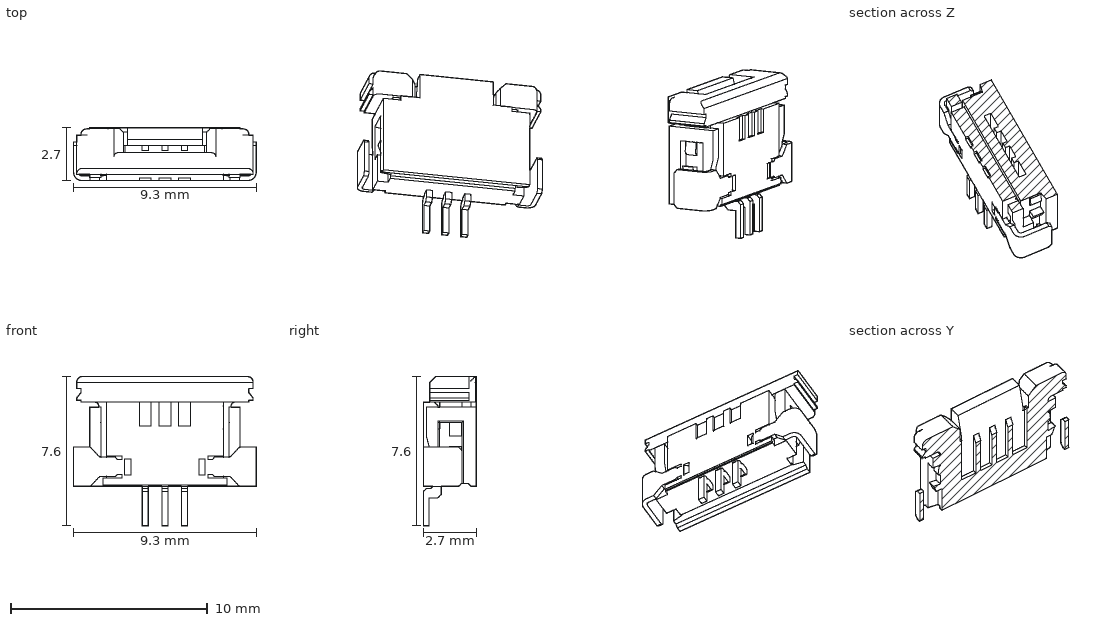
import cadquery as cq
import math


TOTAL_WIDTH = 9.3
DEPTH = 2.7
CAP_TOP = 5.6
PIN_LENGTH = 2.0
OVERLAP = 0.1

HOUSING_TOP = 4.29
ARM_TOP = 4.04
CORE_HALF = 3.26
CORE_FRONT = 0.83
CORE_BACK = 2.43
CREST_HALF = 2.9
ARM_HALF = 3.825
ARM_FRONT = 0.155
ARM_FOOT_FRONT = 0.3
ARM_TAPER_TOP = 2.55
PLATE_HALF = 2.98
PLATE_DEPTH = 0.755
PLATE_CHAMFER = 0.19
SLIT_BOTTOM = 2.93
SKIRT_HALF = 3.147
SKIRT_TOP = 0.42
SKIRT_STEP = 0.085
GAP_FLOOR = 1.5
GAP_FLOOR_FRONT = 1.05
FOOT_GROOVE_HEIGHT = 0.15
FOOT_GROOVE_FRONT = 1.8

WINDOW_BACK = 2.05
WINDOW_TOP = 3.34
WINDOW_BACK_DRAFT = 0.11
WINDOW_TOP_DRAFT = 0.09
CATCH_FRONT = 1.34
CATCH_BACK = WINDOW_BACK - WINDOW_BACK_DRAFT
LOWER_CATCH_TIP = 2.03
LOWER_CATCH_ROOT = 1.96
LOWER_CATCH_BOTTOM = 1.53
LOWER_CATCH_REACH = 0.43
LOWER_CATCH_BASE_REACH = 0.23
UPPER_CATCH_TOP = 3.25
UPPER_CATCH_LEDGE = 2.77
UPPER_CATCH_NOSE = 0.08
UPPER_CATCH_REACH = 0.14
UPPER_CATCH_RADIUS = 0.23
SILL_TOP = 1.49

PITCH = 1.0
CONTACT_COUNT = 3
PIN_WIDTH = 0.32
PIN_THICKNESS = 0.296
PIN_ROOT_FRONT = 0.473
PIN_ROOT_BACK = 0.917
PIN_CRANK_TOP = -0.1
PIN_CRANK_BOTTOM = -0.59
PIN_CRANK_CHAMFER = 0.19
PIN_FRONT_CHAMFER = 0.155
NOTCH_WIDTH = 0.6
NOTCH_DEPTH = 0.135
NOTCH_BOTTOM = 3.08
CONTACT_REACH = 0.24
CONTACT_TOP = 4.0
CONTACT_RAMP = 0.5

CABLE_HALF = 2.02
CABLE_FRONT = 1.42
CABLE_BACK = 1.78
CABLE_BOTTOM = 1.5
LEAD_IN_BACK = 2.48

CAP_HALF = 4.49
CAP_WAIST_HALF = 4.275
CAP_FRONT = 0.32
CAP_STEP = 2.32
CAP_BACK = 2.64
CAP_RADIUS = 0.3
CAP_CHAMFER = 0.31
CAP_LIP_BOTTOM = 4.975
CAP_WAIST_BOTTOM = 4.78
CAP_BARB = 4.5
CAP_BARB_BOTTOM = 4.375
TONGUE_HALF = 3.37
TONGUE_BACK = 1.96
TONGUE_FILLET = 0.2
MOUTH_HALF = 2.59
MOUTH_SLOPE = 0.48
THROAT_HALF = MOUTH_HALF - MOUTH_SLOPE
MOUTH_FILLET = 0.2
MOUTH_FRONT = CABLE_FRONT - MOUTH_FILLET
MOUTH_BACK_CHAMFER = 0.19
TAB_HALF = 1.91
TAB_TOP_FRONT = 2.09

CLIP_HEIGHT = 2.01
CLIP_THICKNESS = 0.25
CLIP_RADIUS = 0.43
CLIP_BACK = 1.976
CLIP_CHAMFER = 0.18
CLIP_TAPER_START = 3.8
CLIP_TAPER_END = 3.32
CLIP_ARM = (0.51, GAP_FLOOR)
CLIP_TIP = (0.6, 1.376)
CLIP_TIP_START = (2.52, 2.43)
CLIP_END = 2.18
CLIP_SLOT = (SKIRT_TOP, 1.55)
CLIP_WINDOW = (0.59, 1.39)
CLIP_WINDOW_OUTER = 2.05
CLIP_WINDOW_INNER = 1.73
CLIP_BEND_RADIUS = CLIP_END - CLIP_WINDOW_INNER
CLIP_BEND_SETBACK = 0.05

CONTACT_XS = [PITCH * (i - (CONTACT_COUNT - 1) / 2) for i in range(CONTACT_COUNT)]


def box(x0, x1, y0, y1, z0, z1):
    return cq.Workplane("XY").box(x1 - x0, y1 - y0, z1 - z0, centered=False).translate((x0, y0, z0))


def prism_x(points, x0, x1):
    """Extrude a (y, z) outline from x0 to x1."""
    return cq.Workplane("YZ", origin=(x0, 0, 0)).polyline(points).close().extrude(x1 - x0)


def prism_y(points, y0, y1):
    """Extrude an (x, z) outline from y0 to y1."""
    return cq.Workplane("XZ", origin=(0, y0, 0)).polyline(points).close().extrude(y0 - y1)


def both_sides(left):
    """Return the left-hand shape together with its mirror image in X."""
    return left.union(left.mirror("YZ"))


def make_arm():
    arm = prism_x(
        [
            (ARM_FOOT_FRONT, 0),
            (ARM_FOOT_FRONT, CLIP_HEIGHT),
            (ARM_FRONT, ARM_TAPER_TOP),
            (ARM_FRONT, ARM_TOP),
            (DEPTH, ARM_TOP),
            (DEPTH, 0),
        ],
        -ARM_HALF,
        -CORE_HALF,
    )
    inner_back = WINDOW_BACK - WINDOW_BACK_DRAFT
    inner_top = WINDOW_TOP - WINDOW_TOP_DRAFT
    window = (
        cq.Workplane("YZ", origin=(-ARM_HALF, 0, 0))
        .polyline([(PLATE_DEPTH, 0), (WINDOW_BACK, 0), (WINDOW_BACK, WINDOW_TOP), (PLATE_DEPTH, WINDOW_TOP)])
        .close()
        .workplane(offset=ARM_HALF - CORE_HALF)
        .polyline([(PLATE_DEPTH, 0), (inner_back, 0), (inner_back, inner_top), (PLATE_DEPTH, inner_top)])
        .close()
        .loft(ruled=True)
    )
    sill = box(-ARM_HALF, -CORE_HALF, PLATE_DEPTH, CATCH_FRONT, 0, SILL_TOP)
    return arm.cut(window).union(sill)


def make_catches():
    root = -TONGUE_HALF + OVERLAP
    lower = prism_y(
        [
            (root, LOWER_CATCH_ROOT),
            (-TONGUE_HALF, LOWER_CATCH_ROOT),
            (-TONGUE_HALF - LOWER_CATCH_REACH, LOWER_CATCH_TIP),
            (-TONGUE_HALF - LOWER_CATCH_BASE_REACH, LOWER_CATCH_BOTTOM),
            (root, LOWER_CATCH_BOTTOM),
        ],
        CATCH_FRONT,
        CATCH_BACK,
    )
    nose_tip = -TONGUE_HALF - UPPER_CATCH_REACH
    arc_centre = nose_tip + UPPER_CATCH_RADIUS
    arc_offset = UPPER_CATCH_RADIUS * math.sqrt(0.5)
    arc_bottom = UPPER_CATCH_LEDGE - UPPER_CATCH_RADIUS
    upper = (
        cq.Workplane("XZ", origin=(0, CATCH_FRONT, 0))
        .moveTo(root, UPPER_CATCH_TOP)
        .lineTo(-TONGUE_HALF - UPPER_CATCH_NOSE, UPPER_CATCH_TOP)
        .lineTo(nose_tip, UPPER_CATCH_LEDGE)
        .threePointArc((arc_centre - arc_offset, UPPER_CATCH_LEDGE - arc_offset), (arc_centre, arc_bottom))
        .lineTo(root, arc_bottom)
        .close()
        .extrude(CATCH_FRONT - CATCH_BACK)
    )
    return lower.union(upper)


def make_housing():
    core = box(-CORE_HALF, CORE_HALF, CORE_FRONT, CORE_BACK, 0, HOUSING_TOP)
    back_wall = box(-ARM_HALF, ARM_HALF, CORE_BACK, DEPTH, 0, ARM_TOP)
    back_crest = box(-CREST_HALF, CREST_HALF, CORE_BACK, DEPTH, ARM_TOP, HOUSING_TOP)
    plate = prism_x(
        [
            (0, 0),
            (0, HOUSING_TOP),
            (PLATE_DEPTH - PLATE_CHAMFER, HOUSING_TOP),
            (PLATE_DEPTH, HOUSING_TOP - PLATE_CHAMFER),
            (PLATE_DEPTH, SLIT_BOTTOM),
            (CORE_FRONT, SLIT_BOTTOM),
            (CORE_FRONT, 0),
        ],
        -PLATE_HALF,
        PLATE_HALF,
    )
    base = prism_x(
        [
            (ARM_FOOT_FRONT, 0),
            (ARM_FOOT_FRONT, GAP_FLOOR_FRONT),
            (PLATE_DEPTH, GAP_FLOOR),
            (CORE_FRONT, GAP_FLOOR),
            (CORE_FRONT, 0),
        ],
        -CORE_HALF,
        CORE_HALF,
    )
    skirt = box(-SKIRT_HALF, SKIRT_HALF, 0, CORE_FRONT, 0, SKIRT_TOP)
    housing = core.union(back_wall).union(back_crest).union(plate).union(base).union(skirt)
    housing = housing.union(both_sides(make_arm().union(make_catches())))

    for x in CONTACT_XS:
        notch = box(x - NOTCH_WIDTH / 2, x + NOTCH_WIDTH / 2, 0, NOTCH_DEPTH, NOTCH_BOTTOM, HOUSING_TOP)
        housing = housing.cut(notch)

    front_edge = box(-SKIRT_HALF, SKIRT_HALF, 0, SKIRT_STEP, 0, SKIRT_STEP)
    foot_groove = prism_x(
        [
            (FOOT_GROOVE_FRONT, 0),
            (FOOT_GROOVE_FRONT, FOOT_GROOVE_HEIGHT),
            (CORE_BACK - FOOT_GROOVE_HEIGHT, FOOT_GROOVE_HEIGHT),
            (CORE_BACK, 0),
        ],
        -ARM_HALF,
        ARM_HALF,
    )
    clip_recess = box(-PLATE_HALF - OVERLAP, -CLIP_END, 0, CLIP_THICKNESS, *CLIP_SLOT)
    return housing.cut(front_edge).cut(foot_groove).cut(both_sides(clip_recess))


def make_cap_body():
    """Cap without its mouth: a wide barbed bar with a narrower rim behind it."""
    right_side = [
        (CAP_HALF, CAP_LIP_BOTTOM),
        (CAP_WAIST_HALF, CAP_LIP_BOTTOM),
        (CAP_WAIST_HALF, CAP_WAIST_BOTTOM),
        (CAP_HALF, CAP_BARB),
        (CAP_HALF, CAP_BARB_BOTTOM),
        (CAP_WAIST_HALF, CAP_BARB_BOTTOM),
        (CAP_WAIST_HALF, HOUSING_TOP),
    ]
    left_side = [(-x, z) for x, z in reversed(right_side)]
    outline = [(-CAP_HALF, CAP_TOP), (CAP_HALF, CAP_TOP)] + right_side + left_side
    bar = prism_y(outline, CAP_FRONT, CAP_STEP).edges("|Y and >Z").fillet(CAP_RADIUS)
    front_chamfer = prism_x(
        [
            (CAP_FRONT, CAP_TOP),
            (CAP_FRONT + CAP_CHAMFER, CAP_TOP),
            (CAP_FRONT, CAP_TOP - CAP_CHAMFER),
        ],
        -CAP_HALF,
        CAP_HALF,
    )
    rim = box(-CAP_WAIST_HALF, CAP_WAIST_HALF, CAP_FRONT + CAP_CHAMFER, CAP_BACK, HOUSING_TOP, CAP_TOP)
    rim = rim.edges("|Y and >Z").fillet(CAP_RADIUS)
    corner = (
        cq.Workplane("XY", origin=(0, 0, HOUSING_TOP))
        .rect(2 * CAP_WAIST_HALF, 2 * CAP_BACK)
        .extrude(CAP_TOP - HOUSING_TOP)
        .edges("|Z and >Y")
        .fillet(CAP_RADIUS)
    )
    return bar.cut(front_chamfer).union(rim.intersect(corner))


def make_mouth():
    """Cutter for the cable mouth, open at the back of the cap."""
    slope_bottom = CAP_TOP - MOUTH_SLOPE
    funnel = prism_y(
        [
            (-MOUTH_HALF, CAP_TOP),
            (-THROAT_HALF, slope_bottom),
            (-THROAT_HALF, HOUSING_TOP),
            (THROAT_HALF, HOUSING_TOP),
            (THROAT_HALF, slope_bottom),
            (MOUTH_HALF, CAP_TOP),
        ],
        MOUTH_FRONT,
        DEPTH,
    )
    flare = (
        cq.Workplane("XY", origin=(0, 0, HOUSING_TOP))
        .moveTo(-THROAT_HALF, CAP_BACK)
        .lineTo(-THROAT_HALF - MOUTH_BACK_CHAMFER, CAP_BACK)
        .lineTo(-THROAT_HALF, CAP_BACK - MOUTH_BACK_CHAMFER)
        .close()
        .extrude(CAP_TOP - HOUSING_TOP)
    )
    lip = box(-MOUTH_HALF, MOUTH_HALF, 0, CABLE_FRONT, HOUSING_TOP, CAP_TOP)
    lip = lip.edges("|X and >Y and >Z").fillet(MOUTH_FILLET)
    return funnel.cut(lip).union(both_sides(flare))


def make_tongue():
    """Tongue below the cap, flaring into it at both ends and carrying the catches."""
    fillet_offset = TONGUE_FILLET * (1 - math.sqrt(0.5))
    return (
        cq.Workplane("XZ", origin=(0, CORE_FRONT, 0))
        .moveTo(-TONGUE_HALF, LOWER_CATCH_BOTTOM)
        .lineTo(-TONGUE_HALF, HOUSING_TOP - TONGUE_FILLET)
        .threePointArc(
            (-TONGUE_HALF - fillet_offset, HOUSING_TOP - fillet_offset),
            (-TONGUE_HALF - TONGUE_FILLET, HOUSING_TOP),
        )
        .lineTo(TONGUE_HALF + TONGUE_FILLET, HOUSING_TOP)
        .threePointArc(
            (TONGUE_HALF + fillet_offset, HOUSING_TOP - fillet_offset),
            (TONGUE_HALF, HOUSING_TOP - TONGUE_FILLET),
        )
        .lineTo(TONGUE_HALF, LOWER_CATCH_BOTTOM)
        .close()
        .extrude(CORE_FRONT - TONGUE_BACK)
    )


def make_tab():
    """Guide tab behind the mouth, with a sloped front."""
    return prism_x(
        [
            (CABLE_BACK, ARM_TOP),
            (CABLE_BACK, HOUSING_TOP),
            (TAB_TOP_FRONT, CAP_TOP),
            (DEPTH, CAP_TOP),
            (DEPTH, ARM_TOP),
        ],
        -TAB_HALF,
        TAB_HALF,
    )


def make_clip():
    """Left clip: a strap along the side, bent round the corner and let into the front plate."""
    outer = TOTAL_WIDTH / 2
    strap = (
        box(-outer, -CLIP_END, 0, CLIP_BACK, 0, CLIP_HEIGHT)
        .edges("|Z and <X and <Y")
        .fillet(CLIP_RADIUS)
    )
    hollow = (
        box(-outer + CLIP_THICKNESS, -CLIP_END, CLIP_THICKNESS, CLIP_BACK, 0, CLIP_HEIGHT)
        .edges("|Z and <X and <Y")
        .fillet(CLIP_RADIUS - CLIP_THICKNESS)
    )
    strap = strap.cut(hollow).edges("|X and >Y").chamfer(CLIP_CHAMFER)
    outline = prism_y(
        [
            (-outer, 0),
            (-CLIP_TAPER_START, 0),
            (-CLIP_TAPER_END, CLIP_ARM[0]),
            (-CLIP_TIP_START[0], CLIP_ARM[0]),
            (-CLIP_TIP_START[1], CLIP_TIP[0]),
            (-CLIP_END, CLIP_TIP[0]),
            (-CLIP_END, CLIP_TIP[1]),
            (-CLIP_TIP_START[1], CLIP_TIP[1]),
            (-CLIP_TIP_START[0], CLIP_ARM[1]),
            (-CLIP_TAPER_END, CLIP_ARM[1]),
            (-CLIP_TAPER_START, CLIP_HEIGHT),
            (-outer, CLIP_HEIGHT),
        ],
        0,
        CLIP_BACK,
    )
    return strap.intersect(outline)


def make_clip_window():
    """Cutter that shows the rounded end of the left clip turning into the plate."""
    block = box(-CLIP_WINDOW_OUTER, -CLIP_WINDOW_INNER, 0, CLIP_BEND_SETBACK + CLIP_BEND_RADIUS, *CLIP_WINDOW)
    bend = (
        cq.Workplane("XY", origin=(-CLIP_END, CLIP_BEND_SETBACK + CLIP_BEND_RADIUS, CLIP_WINDOW[0]))
        .circle(CLIP_BEND_RADIUS)
        .extrude(CLIP_WINDOW[1] - CLIP_WINDOW[0])
    )
    return block.cut(bend)


def make_pin(x):
    """Cranked solder pin that leaves the underside and steps forward to the front face."""
    outline = [
        (PIN_ROOT_BACK, OVERLAP),
        (PIN_ROOT_BACK, PIN_CRANK_BOTTOM + PIN_CRANK_CHAMFER),
        (PIN_ROOT_BACK - PIN_CRANK_CHAMFER, PIN_CRANK_BOTTOM),
        (PIN_THICKNESS, PIN_CRANK_BOTTOM),
        (PIN_THICKNESS, -PIN_LENGTH),
        (0, -PIN_LENGTH),
        (0, PIN_CRANK_TOP - PIN_FRONT_CHAMFER),
        (PIN_FRONT_CHAMFER, PIN_CRANK_TOP),
        (PIN_ROOT_FRONT + PIN_CRANK_TOP, PIN_CRANK_TOP),
        (PIN_ROOT_FRONT, 0),
        (PIN_ROOT_FRONT, OVERLAP),
    ]
    return prism_x(outline, x - PIN_WIDTH / 2, x + PIN_WIDTH / 2)


def make_contact(x):
    """Sloped contact nose standing out from the back wall of the cable slot."""
    return prism_x(
        [
            (CABLE_BACK, CONTACT_TOP),
            (CABLE_BACK - CONTACT_REACH, CONTACT_TOP - CONTACT_RAMP),
            (CABLE_BACK - CONTACT_REACH, CABLE_BOTTOM),
            (CABLE_BACK, CABLE_BOTTOM),
        ],
        x - PIN_WIDTH / 2,
        x + PIN_WIDTH / 2,
    )


cable_slot = box(-CABLE_HALF, CABLE_HALF, CABLE_FRONT, CABLE_BACK, CABLE_BOTTOM, HOUSING_TOP)
lead_in = box(-THROAT_HALF, THROAT_HALF, CABLE_BACK, LEAD_IN_BACK, ARM_TOP, HOUSING_TOP)
cap = make_cap_body().cut(make_mouth())

result = make_housing().union(make_tongue()).cut(lead_in).union(cap).union(make_tab()).cut(cable_slot)
result = result.union(both_sides(make_clip())).cut(both_sides(make_clip_window()))
for contact_x in CONTACT_XS:
    result = result.union(make_pin(contact_x)).union(make_contact(contact_x))